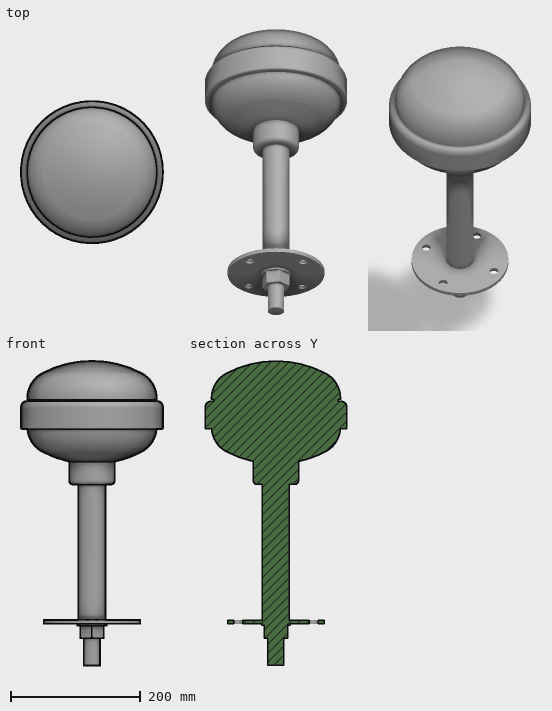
import cadquery as cq
import math

total_height = 470.5

housing_radius = 100.3
crown_height = 19.0
crown_edge_radius = 76.3
housing_height = 159.5

ring_diameter = 220.0
ring_bottom = 365.3
ring_top = 408.5
ring_lower_round = 2.5

groove_height = 2.5
groove_depth = 4.0

collar_radius = 35.5
collar_bottom = 279.5
collar_round = 6.0
tube_radius = 21.0

plate_radius = 75.0
plate_top = 70.5
plate_thickness = 6.0
hole_radius = 6.5
hole_circle_radius = 58.5
hole_count = 4

stud_radius = 12.5
washer_radius = 22.5
washer_thickness = 3.0
nut_corner_radius = 21.0
nut_height = 20.0
nut_chamfer = 1.5

ring_radius = ring_diameter / 2
housing_middle = total_height - housing_height / 2
plate_bottom = plate_top - plate_thickness
washer_bottom = plate_bottom - washer_thickness
nut_bottom = washer_bottom - nut_height
ring_upper_round = ring_radius - housing_radius


def cylinder(radius, bottom, top):
    return cq.Workplane("XY").workplane(offset=bottom).circle(radius).extrude(top - bottom)


def make_housing():
    """Revolve one half of the housing outline, symmetric about its middle height."""
    crown_radius = (crown_edge_radius**2 + crown_height**2) / (2 * crown_height)
    slope = math.asin(crown_edge_radius / crown_radius)
    shoulder_radius = (housing_radius - crown_edge_radius) / (1 - math.sin(slope))

    half_height = housing_height / 2
    crown_edge = half_height - crown_height
    crown_centre = half_height - crown_radius
    crown_mid_x = crown_radius * math.sin(slope / 2)
    crown_mid_z = crown_centre + crown_radius * math.cos(slope / 2)

    shoulder_centre_x = housing_radius - shoulder_radius
    shoulder_centre_z = crown_edge - shoulder_radius * math.cos(slope)
    shoulder_mid_angle = (math.pi / 2 - slope) / 2
    shoulder_mid_x = shoulder_centre_x + shoulder_radius * math.cos(shoulder_mid_angle)
    shoulder_mid_z = shoulder_centre_z + shoulder_radius * math.sin(shoulder_mid_angle)

    outline = (
        cq.Workplane("XZ", origin=(0, 0, housing_middle))
        .moveTo(0, half_height)
        .threePointArc((crown_mid_x, crown_mid_z), (crown_edge_radius, crown_edge))
        .threePointArc((shoulder_mid_x, shoulder_mid_z), (housing_radius, shoulder_centre_z))
        .lineTo(housing_radius, -shoulder_centre_z)
        .threePointArc((shoulder_mid_x, -shoulder_mid_z), (crown_edge_radius, -crown_edge))
        .threePointArc((crown_mid_x, -crown_mid_z), (0, -half_height))
        .close()
    )
    return outline.revolve(360, (0, 0, 0), (0, 1, 0))


def make_ring():
    ring = cylinder(ring_radius, ring_bottom, ring_top)
    ring = ring.faces(">Z").edges().fillet(ring_upper_round)
    return ring.faces("<Z").edges().fillet(ring_lower_round)


def make_groove():
    groove_top = ring_top + groove_height
    core = cylinder(housing_radius - groove_depth, ring_top, groove_top)
    return cylinder(ring_radius, ring_top, groove_top).cut(core)


def make_collar():
    collar = cylinder(collar_radius, collar_bottom, housing_middle)
    return collar.faces("<Z").edges().fillet(collar_round)


def make_plate():
    plate = cylinder(plate_radius, plate_bottom, plate_top)
    holes = (
        cq.Workplane("XY")
        .workplane(offset=plate_bottom)
        .polarArray(hole_circle_radius, 0, 360, hole_count)
        .circle(hole_radius)
        .extrude(plate_thickness)
    )
    return plate.cut(holes)


def make_nut():
    """Hexagon with corners on the Y axis, its lower corners trimmed by a cone."""
    hexagon = (
        cq.Workplane("XY", origin=(0, 0, nut_bottom))
        .transformed(rotate=(0, 0, 90))
        .polygon(6, 2 * nut_corner_radius)
        .extrude(nut_height)
    )
    envelope = cylinder(nut_corner_radius, nut_bottom, washer_bottom)
    return hexagon.intersect(envelope.faces("<Z").edges().chamfer(nut_chamfer))


result = (
    make_housing()
    .cut(make_groove())
    .union(make_ring())
    .union(make_collar())
    .union(cylinder(tube_radius, plate_top, collar_bottom))
    .union(make_plate())
    .union(cylinder(washer_radius, washer_bottom, plate_bottom))
    .union(make_nut())
    .union(cylinder(stud_radius, 0, nut_bottom))
)